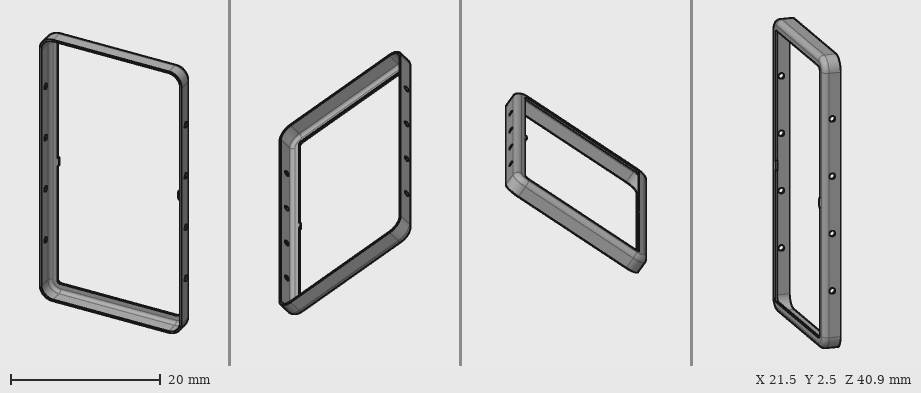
import cadquery as cq

width = 21.5
depth = 2.5
height = 40.9

wall = 0.3
corner_radius = 2.0
back_edge_radius = 0.8

rim_width = 1.5
window_corner_radius = 0.5

tab_reach = 0.25
tab_length = 1.5
tab_corner_radius = 0.4
tab_root_overlap = 0.4

hole_diameter = 0.8
hole_from_front = 1.2
hole_pitch = 8.0
holes_per_side = 4

back_y = depth / 2
window_width = width - 2 * rim_width
window_height = height - 2 * rim_width


def rounded_block(inset):
    """Block inset from the envelope on X, Z and +Y, with rounded corners and back edge."""
    block = cq.Workplane("XY").box(width - 2 * inset, depth - inset, height - 2 * inset)
    block = block.translate((0, -inset / 2, 0))
    block = block.edges("|Y").fillet(corner_radius - inset)
    return block.faces(">Y").edges().fillet(back_edge_radius - inset)


def window():
    """Rectangular opening in the lip, with small corner radii."""
    opening = cq.Workplane("XY").box(window_width, depth, window_height)
    return opening.edges("|Y").fillet(window_corner_radius)


def tab(side):
    """Tab in the lip plane with rounded corners, on one side of the window (side is -1 or +1)."""
    tip_x = window_width / 2 - tab_reach
    root_x = window_width / 2 + tab_root_overlap
    plate = (
        cq.Workplane("XY")
        .box(root_x - tip_x, wall, tab_length)
        .translate((side * (tip_x + root_x) / 2, back_y - wall / 2, 0))
    )
    tip_face = "<X" if side > 0 else ">X"
    return plate.faces(tip_face).edges("|Y").fillet(tab_corner_radius)


def pin_holes():
    """Row of holes running along X through both side walls."""
    return (
        cq.Workplane("YZ")
        .center(hole_from_front - back_y, 0)
        .rarray(1, hole_pitch, 1, holes_per_side)
        .circle(hole_diameter / 2)
        .extrude(width, both=True)
    )


bezel = rounded_block(0).cut(rounded_block(wall)).cut(window())
for side in (-1, 1):
    bezel = bezel.union(tab(side))
result = bezel.cut(pin_holes())